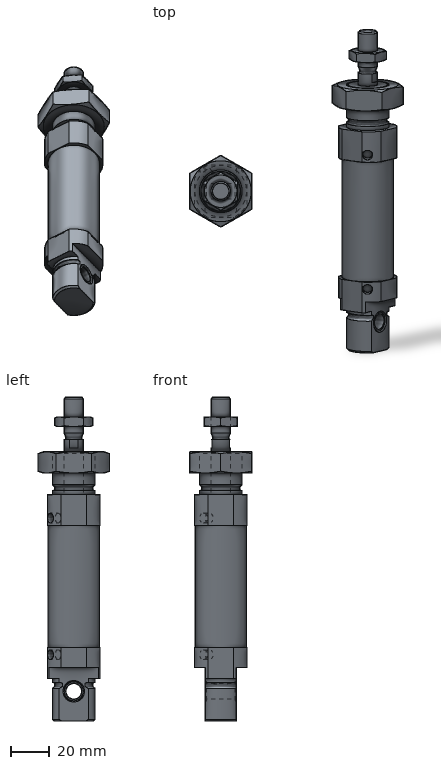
import cadquery as cq
import math

TOTAL_HEIGHT = 166.5

TUBE_DIA = 26.5
TUBE_LENGTH = 62.6
CAP_WIDTH = 27.0
CAP_CORNER_DIA = 30.0
CAP_HEIGHT = 16.0
REAR_CAP_BOTTOM = 21.9

NECK_DIA = 22.0
NECK_COLLAR_HEIGHT = 2.1
NECK_THREAD_START = 5.1
NECK_UNDERCUT_DIA = 19.7
NECK_UNDERCUT_FILLET = 0.6
NECK_UNDERCUT_SLOPE = 45.0
FRONT_NECK_LENGTH = 22.0
FRONT_NECK_TIP_DIA = 20.38
REAR_NECK_TIP_DIA = 20.0

TONGUE_WIDTH = 16.0
TONGUE_TOP = 27.5
PIVOT_DIA = 8.0
PIVOT_SEAT_DIA = 9.8
PIVOT_RIM_DIA = 11.0
PIVOT_HEIGHT = 15.4

SCREW_HOLE_DIA = 5.0
SCREW_HOLE_DEPTH = 5.0
SCREW_HOLE_ANGLE = 126.5
SCREW_HOLE_HEIGHTS = (34.2, 104.4)

ROD_DIA = 10.0
ROD_TIP_DIA = 8.4
ROD_SHOULDER_TOP = 144.8
ROD_THREAD_START = 148.2
ROD_UNDERCUT_DIA = 8.4
ROD_UNDERCUT_FILLET = 0.5
ROD_UNDERCUT_SLOPE = 20.0
ROD_FLATS_WIDTH = 9.0
ROD_FLATS_LENGTH = 4.5

MOUNT_NUT_WIDTH = 32.0
MOUNT_NUT_HEIGHT = 11.0
ROD_NUT_WIDTH = 17.0
ROD_NUT_HEIGHT = 5.0
ROD_NUT_BOTTOM = 151.4
NUT_FACE_RATIO = 0.98
NUT_BEVEL_ANGLE = 20.0

tube_bottom = REAR_CAP_BOTTOM + CAP_HEIGHT
tube_top = tube_bottom + TUBE_LENGTH
front_cap_top = tube_top + CAP_HEIGHT
front_neck_top = front_cap_top + FRONT_NECK_LENGTH


def cylinder(diameter, bottom, top):
    return cq.Workplane("XY").workplane(offset=bottom).circle(diameter / 2).extrude(top - bottom)


def revolve_about_z(profile):
    """Close a half profile drawn in the XZ plane and turn it about the Z axis."""
    return profile.close().revolve(360, (0, 0, 0), (0, 1, 0))


def add_undercut(profile, radius, groove, fillet, slope_angle, shoulder, runout):
    """Continue a half profile upwards through a filleted groove, from its shoulder to the sloped runout."""
    slope = math.radians(slope_angle)
    slope_base = groove + fillet * (1 - math.cos(slope))
    slope_start = runout - (radius - slope_base) / math.tan(slope)
    return (
        profile.lineTo(radius, shoulder)
        .lineTo(groove + fillet, shoulder)
        .radiusArc((groove, shoulder + fillet), fillet)
        .lineTo(groove, slope_start - fillet * math.sin(slope))
        .radiusArc((slope_base, slope_start), fillet)
        .lineTo(radius, runout)
    )


def add_tip(profile, radius, tip, top):
    """Finish a half profile with a 45 degree chamfered end."""
    return profile.lineTo(radius, top - (radius - tip)).lineTo(tip, top).lineTo(0, top)


def make_end_cap(bottom):
    """Square block whose four corners are rounded by a cylinder about the axis."""
    block = cq.Workplane("XY").workplane(offset=bottom).rect(CAP_WIDTH, CAP_WIDTH).extrude(CAP_HEIGHT)
    return block.intersect(cylinder(CAP_CORNER_DIA, bottom, bottom + CAP_HEIGHT))


def make_neck(length, tip_dia):
    """Neck standing on Z = 0: collar, undercut, threaded length, chamfered tip."""
    radius = NECK_DIA / 2
    profile = add_undercut(
        cq.Workplane("XZ").lineTo(radius, 0),
        radius,
        NECK_UNDERCUT_DIA / 2,
        NECK_UNDERCUT_FILLET,
        NECK_UNDERCUT_SLOPE,
        NECK_COLLAR_HEIGHT,
        NECK_THREAD_START,
    )
    return revolve_about_z(add_tip(profile, radius, tip_dia / 2, length))


def tongue_waste(side):
    """Block removed beside the rear tongue, on the -X (-1) or +X (+1) side."""
    waste = cq.Workplane("XY").box(CAP_WIDTH, CAP_WIDTH, TONGUE_TOP)
    return waste.translate((side * (TONGUE_WIDTH + CAP_WIDTH) / 2, 0, TONGUE_TOP / 2))


def pivot_hole():
    """Cross hole along X with a conical rim and a flat seat on both tongue faces."""
    half = TONGUE_WIDTH / 2
    seat = half - (PIVOT_RIM_DIA - PIVOT_SEAT_DIA) / 2
    return (
        cq.Workplane("XY")
        .moveTo(-half, 0)
        .lineTo(-half, PIVOT_RIM_DIA / 2)
        .lineTo(-seat, PIVOT_SEAT_DIA / 2)
        .lineTo(-seat, PIVOT_DIA / 2)
        .lineTo(seat, PIVOT_DIA / 2)
        .lineTo(seat, PIVOT_SEAT_DIA / 2)
        .lineTo(half, PIVOT_RIM_DIA / 2)
        .lineTo(half, 0)
        .close()
        .revolve(360, (0, 0, 0), (1, 0, 0))
        .translate((0, 0, PIVOT_HEIGHT))
    )


def screw_hole(height):
    """Blind radial hole entering through a rounded cap corner; the cutter runs on past the surface."""
    angle = math.radians(SCREW_HOLE_ANGLE)
    outward = cq.Vector(math.cos(angle), math.sin(angle), 0)
    floor = outward * (CAP_CORNER_DIA / 2 - SCREW_HOLE_DEPTH) + cq.Vector(0, 0, height)
    plane = cq.Plane(floor, (0, 0, 1), outward)
    return cq.Workplane(plane).circle(SCREW_HOLE_DIA / 2).extrude(2 * SCREW_HOLE_DEPTH)


def make_housing():
    """Tube, both end caps with their necks, and the rear tongue; the rod bore is a blind hole."""
    front_neck = make_neck(FRONT_NECK_LENGTH, FRONT_NECK_TIP_DIA).translate((0, 0, front_cap_top))
    rear_neck = make_neck(REAR_CAP_BOTTOM, REAR_NECK_TIP_DIA).mirror("XY").translate((0, 0, REAR_CAP_BOTTOM))
    body = cylinder(TUBE_DIA, tube_bottom, tube_top)
    for piece in (make_end_cap(tube_top), make_end_cap(REAR_CAP_BOTTOM), front_neck, rear_neck):
        body = body.union(piece)
    for side in (-1, 1):
        body = body.cut(tongue_waste(side))
    body = body.cut(pivot_hole())
    for height in SCREW_HOLE_HEIGHTS:
        body = body.cut(screw_hole(height))
    return body.cut(cylinder(ROD_DIA, front_cap_top, front_neck_top))


def make_rod():
    """Rod seated in the front neck: two wrench flats, an undercut and a chamfered thread."""
    radius = ROD_DIA / 2
    profile = add_undercut(
        cq.Workplane("XZ").moveTo(0, front_cap_top).lineTo(radius, front_cap_top),
        radius,
        ROD_UNDERCUT_DIA / 2,
        ROD_UNDERCUT_FILLET,
        ROD_UNDERCUT_SLOPE,
        ROD_SHOULDER_TOP,
        ROD_THREAD_START,
    )
    body = revolve_about_z(add_tip(profile, radius, ROD_TIP_DIA / 2, TOTAL_HEIGHT))
    flat_height = ROD_SHOULDER_TOP - ROD_FLATS_LENGTH / 2
    for side in (-1, 1):
        waste = cq.Workplane("XY").box(ROD_DIA, ROD_DIA, ROD_FLATS_LENGTH)
        body = body.cut(waste.translate((side * (ROD_FLATS_WIDTH + ROD_DIA) / 2, 0, flat_height)))
    return body


def make_hex_nut(width, height, bore_dia, bottom):
    """Hexagon nut with two flats facing -X and +X and its corners bevelled on both faces."""
    corner = width / math.sqrt(3)
    face = width * NUT_FACE_RATIO / 2
    drop = (corner - face) * math.tan(math.radians(NUT_BEVEL_ANGLE))
    hexagon = cq.Workplane("XY").polygon(6, 2 * corner).extrude(height).rotate((0, 0, 0), (0, 0, 1), 30)
    bevels = revolve_about_z(
        cq.Workplane("XZ")
        .lineTo(face, 0)
        .lineTo(corner, drop)
        .lineTo(corner, height - drop)
        .lineTo(face, height)
        .lineTo(0, height)
    )
    return hexagon.intersect(bevels).cut(cylinder(bore_dia, 0, height)).translate((0, 0, bottom))


housing = make_housing()
rod = make_rod()
mount_nut = make_hex_nut(MOUNT_NUT_WIDTH, MOUNT_NUT_HEIGHT, NECK_DIA, front_neck_top - MOUNT_NUT_HEIGHT)
rod_nut = make_hex_nut(ROD_NUT_WIDTH, ROD_NUT_HEIGHT, ROD_DIA, ROD_NUT_BOTTOM)

bodies = (housing, rod, mount_nut, rod_nut)
result = cq.Compound.makeCompound([body.solids().val() for body in bodies])